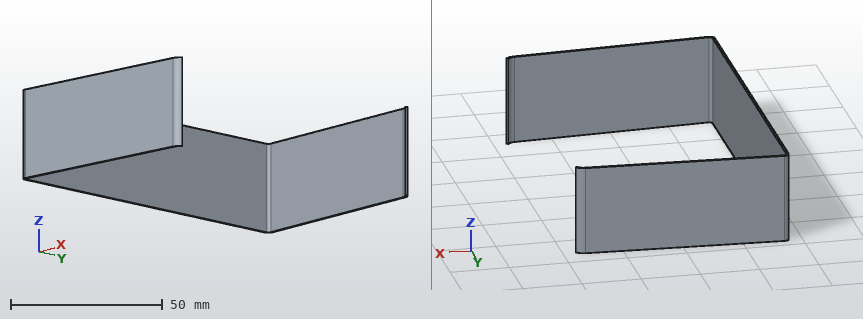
import cadquery as cq
import math

width = 113.1
length = 71.3
height = 30.0
thickness = 0.8
corner_radius = 1.8
arm_angle = 3.0
lip_radius = 3.8
lip_start = 68.3


def heading(angle):
    """Unit vector along an arm that leans inward from +X."""
    turn = math.radians(angle)
    return math.cos(turn), -math.sin(turn)


def on_bend(center, radius, angle):
    """Point on a bend where the sheet leans inward by the given angle."""
    turn = math.radians(angle)
    return center[0] + radius * math.sin(turn), center[1] + radius * math.cos(turn)


def run_to_x(start, angle, x):
    """Point reached from start along a lean angle at the given X."""
    along = heading(angle)
    return x, start[1] + (x - start[0]) * along[1] / along[0]


corner_center = (corner_radius, width / 2 - corner_radius)
corner_inner_radius = corner_radius - thickness
lip_inner_radius = lip_radius - thickness
back_angle = -90.0
corner_mid_angle = (back_angle + arm_angle) / 2

arm_end = run_to_x(on_bend(corner_center, corner_radius, arm_angle), arm_angle, lip_start)
lip_center = on_bend(arm_end, -lip_radius, arm_angle)
lip_angle = math.degrees(math.asin((length - lip_center[0]) / lip_radius))
lip_mid_angle = (arm_angle + lip_angle) / 2

half_strip = (
    cq.Workplane("XY")
    .moveTo(0, 0)
    .lineTo(*on_bend(corner_center, corner_radius, back_angle))
    .threePointArc(
        on_bend(corner_center, corner_radius, corner_mid_angle),
        on_bend(corner_center, corner_radius, arm_angle),
    )
    .lineTo(*arm_end)
    .threePointArc(
        on_bend(lip_center, lip_radius, lip_mid_angle),
        on_bend(lip_center, lip_radius, lip_angle),
    )
    .lineTo(*on_bend(lip_center, lip_inner_radius, lip_angle))
    .threePointArc(
        on_bend(lip_center, lip_inner_radius, lip_mid_angle),
        on_bend(lip_center, lip_inner_radius, arm_angle),
    )
    .lineTo(*on_bend(corner_center, corner_inner_radius, arm_angle))
    .threePointArc(
        on_bend(corner_center, corner_inner_radius, corner_mid_angle),
        on_bend(corner_center, corner_inner_radius, back_angle),
    )
    .lineTo(thickness, 0)
    .close()
    .extrude(height)
)

result = half_strip.union(half_strip.mirror("XZ")).clean()